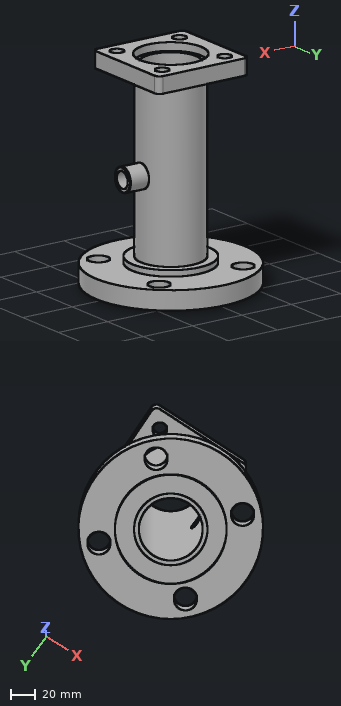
import cadquery as cq

TOTAL_HEIGHT = 200.0

PIPE_DIAMETER = 60.5
PIPE_BORE = 52.5
PIPE_TOP_SETBACK = 7.2

FLANGE_DIAMETER = 152.0
FLANGE_THICKNESS = 17.8
RAISED_FACE_DIAMETER = 92.0
RAISED_FACE_HEIGHT = 2.0
HUB_DIAMETER = 78.0
HUB_HEIGHT = 5.5
FLANGE_HOLE_DIAMETER = 19.0
FLANGE_BOLT_CIRCLE = 120.5
FLANGE_HOLE_COUNT = 4
FIRST_HOLE_ANGLE = 45.0

PLATE_SIDE = 92.5
PLATE_THICKNESS = 15.2
PLATE_CORNER_RADIUS = 5.0
PLATE_BORE = 62.0
PLATE_HOLE_DIAMETER = 12.0
PLATE_HOLE_PITCH = 63.5

STUB_DIAMETER = 22.5
STUB_BORE = 15.2
STUB_START_X = PIPE_DIAMETER / 2
STUB_END_X = 49.2
STUB_CENTER_Z = TOTAL_HEIGHT / 2
STUB_END_CHAMFER = 0.5


def cylinder(diameter, bottom, height):
    """Vertical cylinder on the pipe axis."""
    return cq.Workplane("XY").workplane(offset=bottom).circle(diameter / 2).extrude(height)


def port_cylinder(diameter, start_x, end_x):
    """Horizontal cylinder along X on the side stub's axis."""
    return (
        cq.Workplane("YZ", origin=(start_x, 0, STUB_CENTER_Z))
        .circle(diameter / 2)
        .extrude(end_x - start_x)
    )


def make_pipe():
    """Tube from the flange's bottom face into the plate, with a port through its +X wall."""
    height = TOTAL_HEIGHT - PIPE_TOP_SETBACK
    pipe = cylinder(PIPE_DIAMETER, 0, height).cut(cylinder(PIPE_BORE, 0, height))
    return pipe.cut(port_cylinder(STUB_BORE, 0, STUB_END_X))


def make_flange():
    """Slip-on flange with a raised face below, a low hub above and four bolt holes."""
    disc_top = RAISED_FACE_HEIGHT + FLANGE_THICKNESS
    hub_top = disc_top + HUB_HEIGHT
    flange = cylinder(RAISED_FACE_DIAMETER, 0, RAISED_FACE_HEIGHT)
    flange = flange.union(cylinder(FLANGE_DIAMETER, RAISED_FACE_HEIGHT, FLANGE_THICKNESS))
    flange = flange.union(cylinder(HUB_DIAMETER, disc_top, HUB_HEIGHT))
    bolt_holes = (
        cq.Workplane("XY")
        .polarArray(FLANGE_BOLT_CIRCLE / 2, FIRST_HOLE_ANGLE, 360, FLANGE_HOLE_COUNT)
        .circle(FLANGE_HOLE_DIAMETER / 2)
        .extrude(disc_top)
    )
    return flange.cut(bolt_holes).cut(cylinder(PIPE_DIAMETER, 0, hub_top))


def make_plate():
    """Square plate with rounded corners, a clearance bore for the pipe and four holes."""
    return (
        cq.Workplane("XY")
        .workplane(offset=TOTAL_HEIGHT - PLATE_THICKNESS)
        .rect(PLATE_SIDE, PLATE_SIDE)
        .extrude(PLATE_THICKNESS)
        .edges("|Z")
        .fillet(PLATE_CORNER_RADIUS)
        .faces(">Z")
        .workplane()
        .hole(PLATE_BORE)
        .faces(">Z")
        .workplane()
        .rect(PLATE_HOLE_PITCH, PLATE_HOLE_PITCH, forConstruction=True)
        .vertices()
        .hole(PLATE_HOLE_DIAMETER)
    )


def make_stub():
    """Bored side stub whose flat inner end touches the pipe, with a chamfered outer rim."""
    stub = port_cylinder(STUB_DIAMETER, STUB_START_X, STUB_END_X)
    stub = stub.faces(">X").chamfer(STUB_END_CHAMFER)
    return stub.cut(port_cylinder(STUB_BORE, STUB_START_X, STUB_END_X))


pipe = make_pipe()
flange = make_flange()
plate = make_plate()
stub = make_stub()

result = cq.Compound.makeCompound([pipe.val(), flange.val(), plate.val(), stub.val()])